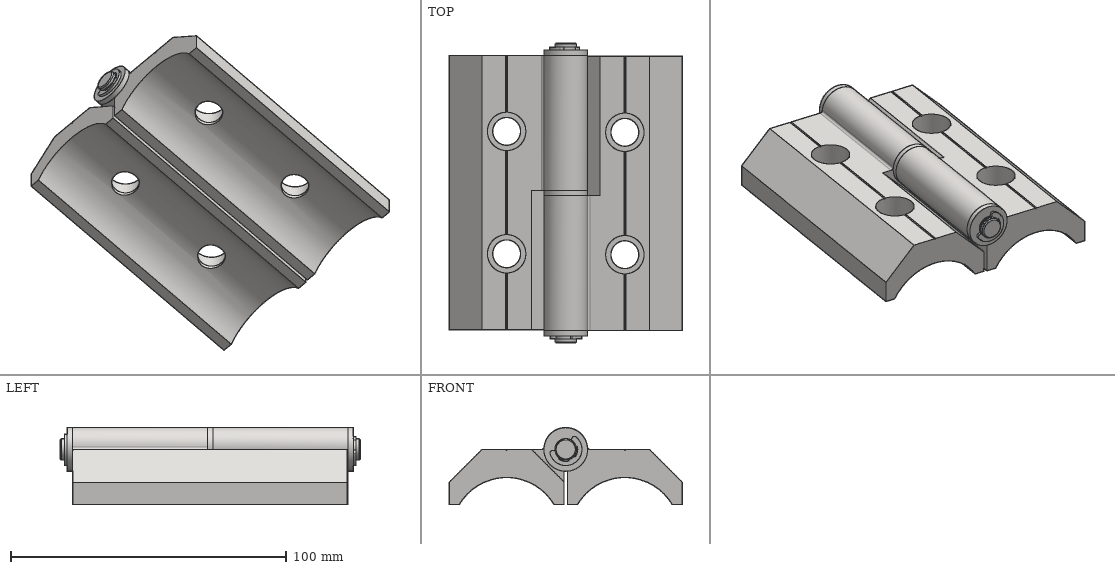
import cadquery as cq
import math

leaf_width = 41.9
leaf_length = 99.7
leaf_height = 20.1
leaf_gap = 1.1
bevel = 12.0
arch_radius = 20.0
arch_crown = 9.8

knuckle_radius = 8.0
knuckle_length = 49.0
knuckle_fillet = 1.0
notch_reach = 12.4

hole_diameter = 10.0
counterbore_diameter = 14.0
counterbore_depth = 9.0
hole_spacing = 44.5
marking_width = 0.7
marking_depth = 0.3

washer_thickness = 2.0
pin_radius = 3.9
pin_length = 109.0
pin_chamfer = 0.4

clip_thickness = 1.0
clip_radius = 5.9
clip_seat_radius = 3.5
clip_relief_radius = 4.4
clip_corner_fillet = 0.9
mouth_half_angle = 62
back_lobe_half_angle = 18
relief_end_angle = 70
front_mouth_angle = 123
rear_mouth_angle = 38

inner_face = leaf_gap / 2
leaf_center = inner_face + leaf_width / 2
outer_face = inner_face + leaf_width
knuckle_start = washer_thickness / 2
knuckle_end = knuckle_start + knuckle_length
leaf_start = knuckle_end - leaf_length
leaf_middle = (knuckle_end + leaf_start) / 2
washer_end = knuckle_end + washer_thickness
clip_end = washer_end + clip_thickness
arch_half_span = math.sqrt(arch_radius**2 - (arch_radius - arch_crown) ** 2)


def cylinder(radius, start, end):
    """Cylinder on the hinge axis between two Y positions."""
    plane = cq.Workplane("XZ", origin=(0, start, leaf_height))
    return plane.circle(radius).extrude(start - end)


def sector(radius, start_angle, end_angle, start, end):
    """Pie slice about the hinge axis, angles in degrees from +X towards +Z."""
    def rim(angle):
        turn = math.radians(angle)
        return (radius * math.cos(turn), radius * math.sin(turn))

    plane = cq.Workplane("XZ", origin=(0, start, leaf_height))
    outline = plane.lineTo(*rim(start_angle))
    outline = outline.threePointArc(rim((start_angle + end_angle) / 2), rim(end_angle))
    return outline.close().extrude(start - end)


def prism(points, start, end):
    """Extrudes an X-Z polygon between two Y positions."""
    return cq.Workplane("XZ", origin=(0, start, 0)).polyline(points).close().extrude(start - end)


def make_leaf():
    outline = (
        cq.Workplane("XZ", origin=(0, leaf_start, 0))
        .moveTo(-inner_face, 0)
        .lineTo(-inner_face, leaf_height)
        .lineTo(bevel - outer_face, leaf_height)
        .lineTo(-outer_face, leaf_height - bevel)
        .lineTo(-outer_face, 0)
        .lineTo(-leaf_center - arch_half_span, 0)
        .threePointArc((-leaf_center, arch_crown), (-leaf_center + arch_half_span, 0))
        .close()
    )
    leaf = outline.extrude(-leaf_length)

    notch = [
        (-notch_reach, leaf_height),
        (0, leaf_height),
        (0, leaf_height - notch_reach),
    ]
    leaf = leaf.cut(prism(notch, leaf_start, knuckle_start))

    leaf = leaf.union(cylinder(knuckle_radius, knuckle_start, knuckle_end))
    blend_point = (-knuckle_radius, knuckle_start + knuckle_length / 2, leaf_height)
    leaf = leaf.edges(cq.selectors.NearestToPointSelector(blend_point)).fillet(knuckle_fillet)
    leaf = leaf.cut(cylinder(pin_radius, knuckle_start, knuckle_end))

    marking = [
        (-leaf_center - marking_width / 2, leaf_height),
        (-leaf_center, leaf_height - marking_depth),
        (-leaf_center + marking_width / 2, leaf_height),
    ]
    leaf = leaf.cut(prism(marking, leaf_start, knuckle_end))
    holes = cq.Workplane("XY", origin=(-leaf_center, leaf_middle, leaf_height)).pushPoints(
        [(0, -hole_spacing / 2), (0, hole_spacing / 2)]
    )
    leaf = leaf.cut(holes.circle(hole_diameter / 2).extrude(-leaf_height))
    return leaf.cut(holes.circle(counterbore_diameter / 2).extrude(-counterbore_depth))


def make_washer(start):
    end = start + washer_thickness
    return cylinder(knuckle_radius, start, end).cut(cylinder(pin_radius, start, end))


def make_pin():
    pin = cylinder(pin_radius, -pin_length / 2, pin_length / 2).edges().chamfer(pin_chamfer)
    for start, end in ((washer_end, clip_end), (-clip_end, -washer_end)):
        groove = cylinder(clip_radius, start, end).cut(cylinder(clip_seat_radius, start, end))
        pin = pin.cut(groove)
    return pin


def make_clip(start, mouth_angle):
    end = start + clip_thickness
    clip = cylinder(clip_radius, start, end)
    mouth = sector(
        2 * clip_radius, mouth_angle - mouth_half_angle, mouth_angle + mouth_half_angle, start, end
    )
    clip = clip.cut(mouth)

    for side in (-1, 1):
        turn = math.radians(mouth_angle + side * mouth_half_angle)
        corner = (
            clip_radius * math.cos(turn),
            (start + end) / 2,
            leaf_height + clip_radius * math.sin(turn),
        )
        clip = clip.edges(cq.selectors.NearestToPointSelector(corner)).fillet(clip_corner_fillet)

    clip = clip.cut(cylinder(clip_seat_radius, start, end))
    back_angle = mouth_angle + 180
    for side in (-1, 1):
        relief = sector(
            clip_relief_radius,
            back_angle + side * back_lobe_half_angle,
            back_angle + side * relief_end_angle,
            start,
            end,
        )
        clip = clip.cut(relief)
    return clip


left_leaf = make_leaf()
right_leaf = make_leaf().rotate((0, 0, 0), (0, 0, 1), 180)
washers = [make_washer(start) for start in (-washer_end, -knuckle_start, knuckle_end)]
pin = make_pin()
front_clip = make_clip(-clip_end, front_mouth_angle)
rear_clip = make_clip(washer_end, rear_mouth_angle)

result = cq.Compound.makeCompound(
    [
        left_leaf.val(),
        right_leaf.val(),
        *[washer.val() for washer in washers],
        pin.val(),
        front_clip.val(),
        rear_clip.val(),
    ]
)